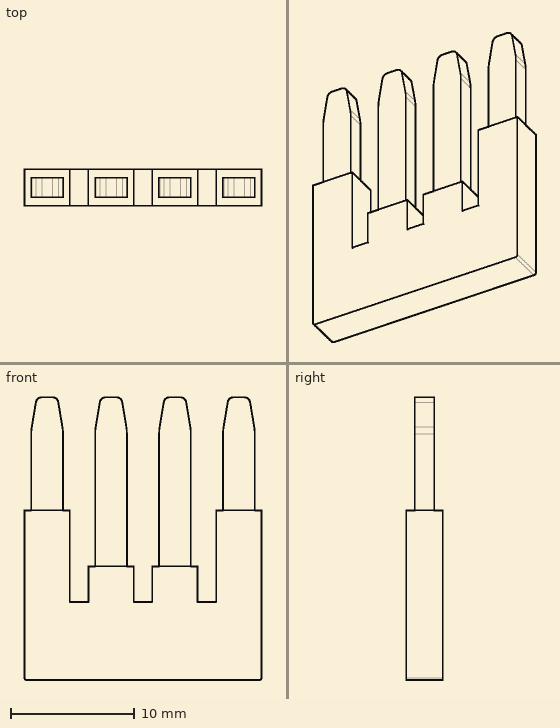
import cadquery as cq

body_width = 19.3
body_depth = 3.0
total_height = 23.0
notch_floor = 6.35
inner_shoulder = 9.25
outer_shoulder = 13.8
bottom_radius = 0.2

pin_pitch = 5.2
column_width = body_width - 3 * pin_pitch
pin_width = 2.6
pin_depth = 1.59
pin_centers = [(i - 1.5) * pin_pitch for i in range(4)]

tip_width = 1.7
tip_length = 2.7
tip_radius = 0.5
blend_radius = 3.45


def block(center_x, width, depth, bottom, top):
    """Upright box centred on the Y = 0 plane."""
    return (
        cq.Workplane("XY", origin=(center_x, 0, bottom))
        .rect(width, depth)
        .extrude(top - bottom)
    )


def make_base():
    base = block(0, body_width, body_depth, 0, notch_floor)
    return base.edges("|Y and <Z").fillet(bottom_radius)


def make_pin(center_x, shoulder):
    taper_start = total_height - tip_length
    pin = (
        cq.Workplane("XZ", origin=(center_x, 0, 0))
        .moveTo(-pin_width / 2, shoulder)
        .lineTo(-pin_width / 2, taper_start)
        .lineTo(-tip_width / 2, total_height)
        .lineTo(tip_width / 2, total_height)
        .lineTo(pin_width / 2, taper_start)
        .lineTo(pin_width / 2, shoulder)
        .close()
        .extrude(pin_depth / 2, both=True)
    )
    search_margin = 0.02
    taper_edges = cq.selectors.BoxSelector(
        (center_x - pin_width, -pin_depth, taper_start - search_margin),
        (center_x + pin_width, pin_depth, taper_start + search_margin),
    )
    pin = pin.edges("|Y and >Z").fillet(tip_radius)
    return pin.edges(taper_edges).edges("|Y").fillet(blend_radius)


result = make_base()
for center_x in pin_centers:
    is_outer = abs(center_x) > pin_pitch
    shoulder = outer_shoulder if is_outer else inner_shoulder
    result = result.union(block(center_x, column_width, body_depth, notch_floor, shoulder))
    result = result.union(make_pin(center_x, shoulder))
result = result.clean()